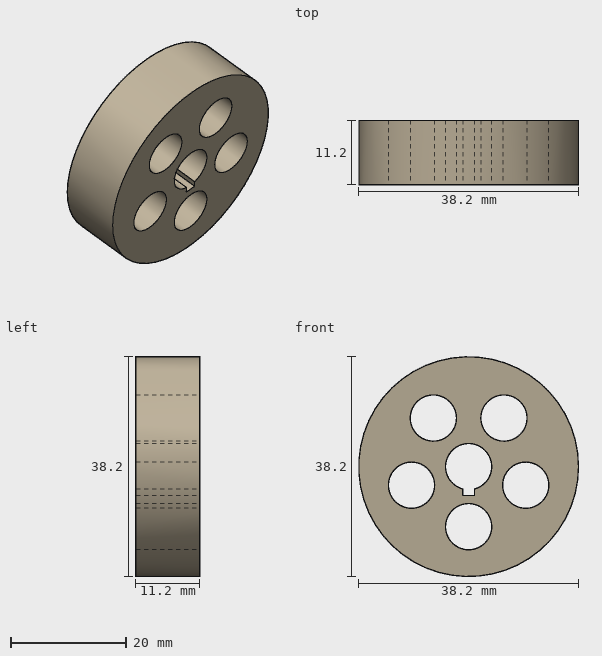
import cadquery as cq

disc_diameter = 38.2
disc_thickness = 11.2
bore_diameter = 8.0
hole_diameter = bore_diameter
hole_count = 5
hole_circle_radius = 10.43
first_hole_angle = -90.0
keyway_width = 2.0
keyway_depth_from_axis = 5.0


def back_face_plane():
    """Plane of the +Y face; its normal points toward -Y, through the disc."""
    return cq.Workplane("XZ", origin=(0, disc_thickness / 2, 0))


def cylinder(diameter):
    """Cylinder along Y, as thick as the disc and centred on the origin."""
    return back_face_plane().circle(diameter / 2).extrude(disc_thickness)


def lightening_holes():
    """Equally spaced through holes around the bore."""
    return (
        back_face_plane()
        .polarArray(hole_circle_radius, first_hole_angle, 360, hole_count)
        .circle(hole_diameter / 2)
        .extrude(disc_thickness)
    )


def keyway():
    """Square-bottomed slot from the axis down past the bore wall."""
    return (
        cq.Workplane("XY")
        .box(keyway_width, disc_thickness, keyway_depth_from_axis)
        .translate((0, 0, -keyway_depth_from_axis / 2))
    )


result = (
    cylinder(disc_diameter)
    .cut(cylinder(bore_diameter))
    .cut(keyway())
    .cut(lightening_holes())
)